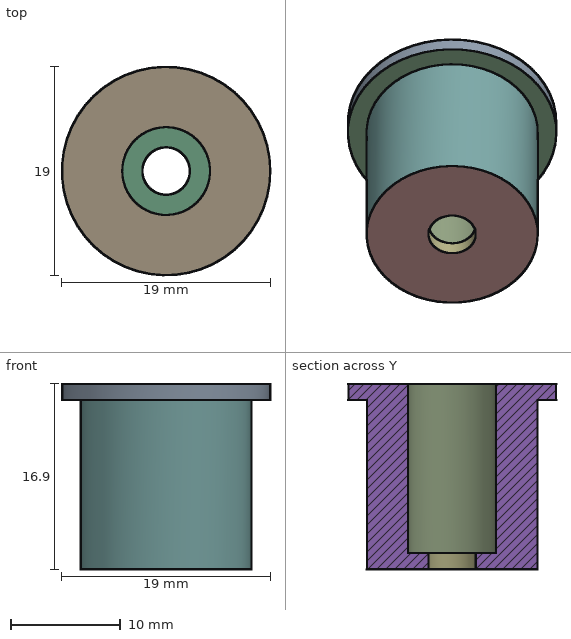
import cadquery as cq

total_height = 16.9
flange_diameter = 19.0
flange_thickness = 1.5
body_diameter = 15.6

bore_diameter = 8.0
through_hole_diameter = 4.3
floor_thickness = flange_thickness

body_height = total_height - flange_thickness
bore_depth = total_height - floor_thickness


def make_bushing():
    """Cylindrical body with the wider flange on top."""
    body = cq.Workplane("XY").circle(body_diameter / 2).extrude(body_height)
    return body.faces(">Z").workplane().circle(flange_diameter / 2).extrude(flange_thickness)


def cut_stepped_bore(bushing):
    """Counterbored hole along the axis, opening at the flange face."""
    return bushing.faces(">Z").workplane().cboreHole(through_hole_diameter, bore_diameter, bore_depth)


result = cut_stepped_bore(make_bushing())